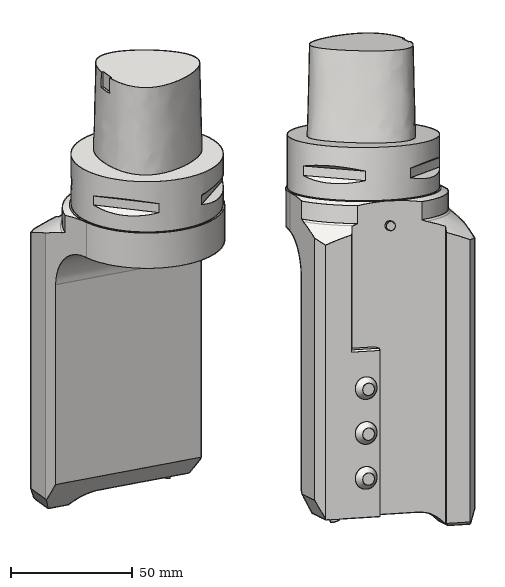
import cadquery as cq
import math


shank_height = 38.5
shank_base_radius = 22.2
shank_lobe = 1.8
shank_taper = 1 / 40
keyway_width = 7.5
keyway_height = 6.7
keyway_floor_y = -18.5

flange_radius = 63.0 / 2
flange_bottom = -22.5
flange_edge_chamfer = 0.3
notch_z = -11.9
notch_floor_offset = 28.1
notch_floor_height = 4.0
notch_mouth_height = 7.3
notch_length = 39.6

total_height = 198.0
body_bottom = shank_height - total_height
collar_radius = 32.0
face_x = -36.6
back_y = collar_radius
front_y = -36.8
front_corner_x = -20.0
front_chamfer = (3.2, 3.2)
back_chamfer = (6.7, 2.4)

shoulder_radius = 35.0
shoulder_top = -23.8
shoulder_bottom = -31.7
shoulder_foot = 0.8
cone_angle = 30.0
envelope_radius = 59.4

leg_back_x = -13.5
collar_bottom = -38.2
leg_fillet = 18.2
back_slope_top = -145.1
toe_back_x = -23.4
toe_chamfer = 1.2

seat_x = -collar_radius
seat_front_y = -23.4
seat_front_undercut = 1.2
ledge_top = -83.4
ledge_chamfer = 0.8
ledge_y = 5.7
ledge_undercut = 0.8
upper_wall_face_y = 18.2
upper_wall_floor_y = 16.5

seat_bottom = -153.8
bottom_arc_radius = 15.8
bottom_arc_y = -12.3
front_bevel = (3.0, 6.0)
back_bevel = (2.5, 7.3)

screw_y = 11.9
screw_zs = (-99.5, -118.5, -137.2)
screw_diameter = 9.5
screw_tip_diameter = 5.1
screw_height = 3.0
pin_diameter = 4.0
pin_z = -32.9
pin_height = 1.5
nozzle_diameter = 4.0
nozzle_start = (-25.7, 23.2, -151.5)
nozzle_direction = (0, -0.3, -1)
nozzle_length = 5.1


def shank_section(radius, z):
    """Closed three-lobed curve with one lobe pointing to +Y."""
    steps = 36
    points = []
    for i in range(steps):
        angle = 2 * math.pi * i / steps
        x = radius * math.sin(angle) - shank_lobe * math.sin(2 * angle)
        y = radius * math.cos(angle) + shank_lobe * math.cos(2 * angle)
        points.append(cq.Vector(x, y, z))
    return cq.Wire.assembleEdges([cq.Edge.makeSpline(points, periodic=True)])


def make_shank():
    top_radius = shank_base_radius - shank_height * shank_taper
    sections = [shank_section(shank_base_radius, 0), shank_section(top_radius, shank_height)]
    shank = cq.Workplane(obj=cq.Solid.makeLoft(sections, True))
    keyway = cq.Workplane().box(
        keyway_width, collar_radius, keyway_height, centered=(True, False, False)
    ).translate((0, keyway_floor_y - collar_radius, shank_height - keyway_height))
    return shank.cut(keyway)


def make_flange():
    flange = cq.Workplane().circle(flange_radius).extrude(flange_bottom)
    flange = flange.faces("<Z").chamfer(flange_edge_chamfer)
    slope = (notch_mouth_height - notch_floor_height) / 2 / (flange_radius - notch_floor_offset)
    depth = collar_radius - notch_floor_offset
    inner = notch_floor_height / 2
    outer = inner + slope * depth
    notch = (
        cq.Workplane("XZ")
        .polyline([
            (notch_floor_offset, notch_z - inner),
            (notch_floor_offset + depth, notch_z - outer),
            (notch_floor_offset + depth, notch_z + outer),
            (notch_floor_offset, notch_z + inner),
        ])
        .close()
        .extrude(notch_length / 2, both=True)
    )
    for angle in (45, 135, 225, 315):
        flange = flange.cut(notch.rotate((0, 0, 0), (0, 0, 1), angle))
    return flange


def make_plan_prism():
    """Plan outline whose front side runs tangent into the collar."""
    corner_distance = math.hypot(front_corner_x, front_y)
    corner_angle = math.atan2(front_y, front_corner_x)
    tangent_angle = corner_angle + math.acos(collar_radius / corner_distance)
    tangent_point = (collar_radius * math.cos(tangent_angle), collar_radius * math.sin(tangent_angle))
    return (
        cq.Workplane(origin=(0, 0, body_bottom))
        .moveTo(face_x, back_y - back_chamfer[1])
        .lineTo(face_x + back_chamfer[0], back_y)
        .lineTo(0, back_y)
        .threePointArc((collar_radius, 0), tangent_point)
        .lineTo(front_corner_x, front_y)
        .lineTo(face_x + front_chamfer[0], front_y)
        .lineTo(face_x, front_y + front_chamfer[1])
        .close()
        .extrude(flange_bottom - body_bottom)
    )


def make_shoulder_envelope():
    foot_radius = shoulder_radius + shoulder_foot
    cone_drop = (envelope_radius - foot_radius) * math.tan(math.radians(cone_angle))
    return (
        cq.Workplane("XZ")
        .polyline([
            (0, flange_bottom),
            (collar_radius, flange_bottom),
            (shoulder_radius, shoulder_top),
            (shoulder_radius, shoulder_bottom + shoulder_foot / 2),
            (foot_radius, shoulder_bottom - shoulder_foot / 2),
            (envelope_radius, shoulder_bottom - shoulder_foot / 2 - cone_drop),
            (envelope_radius, body_bottom),
            (0, body_bottom),
        ])
        .close()
        .revolve(360, (0, 0, 0), (0, 1, 0))
    )


def make_leg_profile():
    bend = leg_fillet * (1 - math.sqrt(0.5))
    return (
        cq.Workplane("XZ")
        .moveTo(face_x, flange_bottom)
        .lineTo(collar_radius, flange_bottom)
        .lineTo(collar_radius, collar_bottom)
        .lineTo(leg_back_x + leg_fillet, collar_bottom)
        .threePointArc(
            (leg_back_x + bend, collar_bottom - bend),
            (leg_back_x, collar_bottom - leg_fillet),
        )
        .lineTo(leg_back_x, back_slope_top)
        .lineTo(toe_back_x, body_bottom)
        .lineTo(face_x + toe_chamfer, body_bottom)
        .lineTo(face_x, body_bottom + toe_chamfer)
        .close()
        .extrude(envelope_radius, both=True)
    )


def seat_cutter(wall_face_y, wall_floor_y, top):
    """Dovetail recess in the -X face, from below the body up to the given height."""
    outside_x = 2 * face_x - seat_x
    front_floor_y = seat_front_y - seat_front_undercut
    return (
        cq.Workplane(origin=(0, 0, body_bottom))
        .polyline([
            (outside_x, seat_front_y),
            (face_x, seat_front_y),
            (seat_x, front_floor_y),
            (seat_x, wall_floor_y),
            (face_x, wall_face_y),
            (outside_x, wall_face_y),
        ])
        .close()
        .extrude(top - body_bottom)
    )


def cut_seat(body):
    lower = seat_cutter(ledge_y, ledge_y + ledge_undercut, flange_bottom)
    upper = seat_cutter(upper_wall_face_y, upper_wall_floor_y, flange_bottom)
    above_ledge = cq.Workplane(origin=(0, 0, ledge_top)).rect(
        2 * envelope_radius, 2 * envelope_radius
    ).extrude(flange_bottom - ledge_top)
    edge_bevel = (
        cq.Workplane("XZ", origin=(0, upper_wall_face_y, 0))
        .polyline([
            (face_x, ledge_top),
            (face_x + ledge_chamfer, ledge_top),
            (face_x, ledge_top - ledge_chamfer),
        ])
        .close()
        .extrude(upper_wall_face_y - ledge_y)
    )
    return body.cut(lower).cut(upper.intersect(above_ledge)).cut(edge_bevel)


def cut_bottom_end(body):
    """Raise the bottom under the seat and bevel both outer sides."""
    arc_drop = seat_bottom - body_bottom
    arc_angle = math.acos(1 - arc_drop / bottom_arc_radius)
    arc_end_y = bottom_arc_y - bottom_arc_radius * math.sin(arc_angle)
    arc_middle = (
        bottom_arc_y - bottom_arc_radius * math.sin(arc_angle / 2),
        seat_bottom - bottom_arc_radius * (1 - math.cos(arc_angle / 2)),
    )
    relief = (
        cq.Workplane("YZ")
        .moveTo(back_y, body_bottom)
        .lineTo(back_y, seat_bottom + back_bevel[1])
        .lineTo(back_y - back_bevel[0], seat_bottom)
        .lineTo(bottom_arc_y, seat_bottom)
        .threePointArc(arc_middle, (arc_end_y, body_bottom))
        .close()
        .extrude(envelope_radius, both=True)
    )
    bevel = (
        cq.Workplane("YZ")
        .polyline([
            (front_y, body_bottom),
            (front_y + front_bevel[0], body_bottom),
            (front_y, body_bottom + front_bevel[1]),
        ])
        .close()
        .extrude(envelope_radius, both=True)
    )
    return body.cut(relief).cut(bevel)


def make_screw(z):
    return cq.Solid.makeCone(
        screw_diameter / 2, screw_tip_diameter / 2, screw_height,
        cq.Vector(face_x, screw_y, z), cq.Vector(-1, 0, 0),
    )


body = make_plan_prism().intersect(make_shoulder_envelope()).intersect(make_leg_profile())
body = cut_bottom_end(cut_seat(body))

pin = cq.Solid.makeCylinder(
    pin_diameter / 2, 2 * pin_height,
    cq.Vector(seat_x + pin_height, 0, pin_z), cq.Vector(-1, 0, 0),
)
nozzle = cq.Solid.makeCylinder(
    nozzle_diameter / 2, nozzle_length, cq.Vector(*nozzle_start), cq.Vector(*nozzle_direction)
)

result = body.union(make_flange()).union(make_shank()).union(pin).union(nozzle)
for screw_z in screw_zs:
    result = result.union(make_screw(screw_z))